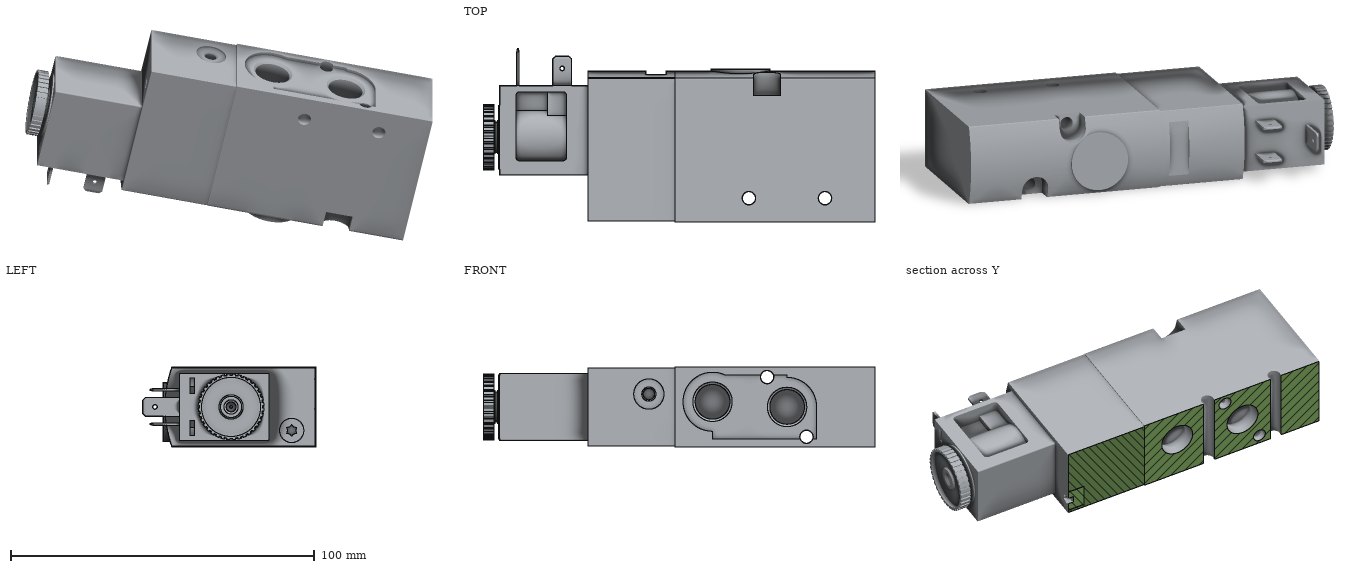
import cadquery as cq
import math


block_length = 66.0
block_height = 26.5
mid_z = block_height / 2
crown_y = 49.8
crown_radius = 39.0
block_edge_bevel = (0.5, 0.15)
pilot_length = 28.75
pilot_height = 25.8
pilot_edge_bevel = (0.3, 0.1)
pilot_face_y = 0.35
coil_length = 29.1
coil_height = 22.2
coil_y_min = 15.5
coil_y_max = 45.0
coil_edge_radius = 0.4
nut_length = 5.3
coil_axis_y = 28.0

pilot_x = -pilot_length
coil_x = pilot_x - coil_length
nut_x = coil_x - nut_length

port_offset_z = 1.7
port_1 = (37.0, mid_z)
port_3 = (12.4, mid_z + port_offset_z)
port_2 = (21.6, mid_z - port_offset_z)
port_diameter = 11.45
port_mouth_diameter = 13.0
port_depth = 12.0
pad_diameter = 19.5
pad_height = 0.65
pad_sunk_length = 4.0
gasket_depth = 1.1
gasket_height = 21.0
through_hole_diameter = 4.3
side_hole_edge = 3.4
side_holes = [(30.4, block_height - side_hole_edge, 1), (43.4, side_hole_edge, -1)]
head_slot_width = 9.0
head_slot_floor_y = 41.8
top_hole_xs = (24.4, 49.5)
top_hole_y = 7.9

crown_groove_x = -9.6
crown_groove_width = 6.7
crown_groove_floor_y = 48.7
override_x = -8.6
override_z = 17.5
override_diameter = 10.0
override_face_y = pilot_face_y + 0.5
override_depth = 6.0
override_hole_diameter = 3.8
override_mouth_diameter = 4.7
override_hole_depth = 3.0
screw_y = 8.0
screw_z = 5.5
screw_diameter = 8.0
screw_depth = 6.0
torx_point_count = 6
torx_diameter = 3.8
torx_root_diameter = 2.7
torx_depth = 2.0

window_x = coil_x + 5.4
window_length = 16.7
window_y_min = 20.2
window_y_max = 43.0
window_corner_radius = 1.3
bobbin_radius = 10.25
low_step_height = 5.2
high_step_height = 7.3
low_step_length = 10.4
face_slot_y = 40.8
face_slot_width = 1.6
face_slot_inner = 4.5
face_slot_step = 6.8
face_slot_outer = 9.5
face_slot_depth = 3.0
face_slot_step_depth = 2.0
collar_diameter = 21.0
collar_thickness = 0.4
blade_width = 6.3
blade_thickness = 0.8
blade_hole_diameter = 1.4
blade_hole_to_tip = 4.1
blade_tip_bevel = 1.0
blade_bevel_depth = 0.25
earth_blade_x = coil_x + 5.65
earth_blade_tip_y = 57.2
power_blade_x = coil_x + 17.5
power_blade_tip_y = 54.8
power_blade_offset = 5.25

knob_length = 3.5
knob_diameter = 21.7
knob_rim_diameter = 19.5
knob_recess_depth = 1.4
knurl_count = 36
knurl_depth = 0.5
knurl_width = 0.7
neck_diameter = 10.9
neck_groove_diameter = 10.0
neck_groove_length = 0.8
hub_diameter = 8.0
hub_height = 0.6
hub_chamfer = 0.5
nut_hole_mouth_diameter = 4.7
nut_hole_diameter = 3.24
nut_hole_tip_diameter = 0.9
nut_hole_mouth_depth = 0.5
nut_hole_wall_depth = 2.7
nut_hole_depth = 3.5


def box_between(x_min, x_max, y_min, y_max, z_min, z_max):
    size = (x_max - x_min, y_max - y_min, z_max - z_min)
    return cq.Workplane("XY").box(*size, centered=False).translate((x_min, y_min, z_min))


def cylinder_x(x, y, z, diameter, length):
    return cq.Workplane("YZ", origin=(x, y, z)).circle(diameter / 2).extrude(length)


def cylinder_y(x, y, z, diameter, length):
    return cq.Workplane("XZ", origin=(x, y, z)).circle(diameter / 2).extrude(-length)


def countersink_y(x, y, z, mouth_diameter, hole_diameter):
    """A 45 degree cone that narrows towards +Y from its mouth at the given point."""
    depth = (mouth_diameter - hole_diameter) / 2
    mouth_centre = cq.Vector(x, y, z)
    direction = cq.Vector(0, 1, 0)
    cone = cq.Solid.makeCone(mouth_diameter / 2, hole_diameter / 2, depth, mouth_centre, direction)
    return cq.Workplane("XY").newObject([cone])


def crowned_block(x, length, height, face_y, edge_bevel):
    """A block centred on mid_z whose +Y face bulges along an arc, with bevelled long edges."""
    bevel_y, bevel_z = edge_bevel
    half = height / 2
    crown_centre_y = crown_y - crown_radius
    arc_half = half - bevel_z
    arc_end_y = crown_centre_y + math.sqrt(crown_radius**2 - arc_half**2)
    bevel_start_y = arc_end_y - bevel_y
    return (
        cq.Workplane("YZ", origin=(x, 0, mid_z))
        .moveTo(face_y, -half)
        .lineTo(bevel_start_y, -half)
        .lineTo(arc_end_y, -arc_half)
        .threePointArc((crown_y, 0), (arc_end_y, arc_half))
        .lineTo(bevel_start_y, half)
        .lineTo(face_y, half)
        .close()
        .extrude(length)
    )


def gasket_recess():
    """The flat recess around ports 1 and 3: a pad circle at each port, joined by straight edges."""
    x_1, z_1 = port_1
    x_3, z_3 = port_3
    radius = pad_diameter / 2
    z_min = mid_z - gasket_height / 2
    z_max = mid_z + gasket_height / 2
    recess = cylinder_y(x_3, 0, z_3, pad_diameter, gasket_depth)
    recess = recess.union(cylinder_y(x_1, 0, z_1, pad_diameter, gasket_depth))
    recess = recess.union(box_between(x_3, x_1, 0, gasket_depth, z_min, z_max))
    return recess.union(box_between(x_1, x_1 + radius, 0, gasket_depth, z_min, z_1))


def make_valve_block():
    block = crowned_block(0, block_length, block_height, 0, block_edge_bevel)
    x_2, z_2 = port_2
    pad_length = pad_height + pad_sunk_length
    block = block.union(cylinder_y(x_2, crown_y - pad_sunk_length, z_2, pad_diameter, pad_length))
    block = block.cut(gasket_recess())
    for x, z in (port_1, port_3):
        block = block.cut(cylinder_y(x, 0, z, port_diameter, port_depth))
        block = block.cut(countersink_y(x, gasket_depth, z, port_mouth_diameter, port_diameter))
    for x, z, side in side_holes:
        block = block.cut(cylinder_y(x, 0, z, through_hole_diameter, crown_y))
        slot = cylinder_y(x, head_slot_floor_y, z, head_slot_width, block_height)
        half = head_slot_width / 2
        z_low, z_high = sorted((z, z + side * head_slot_width))
        opening = box_between(x - half, x + half, head_slot_floor_y, crown_y + pad_height, z_low, z_high)
        block = block.cut(slot.union(opening))
    for x in top_hole_xs:
        hole = cq.Workplane("XY", origin=(x, top_hole_y, 0)).circle(through_hole_diameter / 2)
        block = block.cut(hole.extrude(block_height))
    return block


def make_pilot_head():
    pilot = crowned_block(pilot_x, pilot_length, pilot_height, pilot_face_y, pilot_edge_bevel)
    groove = box_between(
        crown_groove_x, crown_groove_x + crown_groove_width, crown_groove_floor_y, crown_y, 0, block_height
    )
    pilot = pilot.cut(groove)
    override_bore_length = override_face_y + override_depth
    pilot = pilot.cut(cylinder_y(override_x, 0, override_z, override_diameter, override_bore_length))
    return pilot.cut(cylinder_x(pilot_x, screw_y, screw_z, screw_diameter, screw_depth))


def make_override():
    """Manual override button, set slightly into the pilot's -Y face."""
    button = cylinder_y(override_x, override_face_y, override_z, override_diameter, override_depth)
    hole = cylinder_y(override_x, override_face_y, override_z, override_hole_diameter, override_hole_depth)
    mouth = countersink_y(
        override_x, override_face_y, override_z, override_mouth_diameter, override_hole_diameter
    )
    return button.cut(hole).cut(mouth)


def make_screw():
    """Flush screw in the pilot's -X face, with a six-pointed drive recess."""
    screw = cylinder_x(pilot_x, screw_y, screw_z, screw_diameter, screw_depth)
    points = []
    for i in range(2 * torx_point_count):
        radius = (torx_root_diameter if i % 2 else torx_diameter) / 2
        angle = math.pi / 2 + math.pi * i / torx_point_count
        points.append((radius * math.cos(angle), radius * math.sin(angle)))
    drive = cq.Workplane("YZ", origin=(pilot_x, screw_y, screw_z)).polyline(points).close()
    return screw.cut(drive.extrude(torx_depth))


def coil_window():
    """Opening in the coil's top that shows the bobbin and two flat steps beside it."""
    x_max = window_x + window_length
    opening = box_between(
        window_x, x_max, window_y_min, window_y_max, mid_z + low_step_height, mid_z + coil_height / 2
    ).edges("|Z").fillet(window_corner_radius)
    bobbin = cylinder_x(window_x, coil_axis_y, mid_z, 2 * bobbin_radius, window_length)
    high_step = box_between(
        window_x + low_step_length, x_max, coil_axis_y, window_y_max, 0, mid_z + high_step_height
    )
    return opening.cut(bobbin).cut(high_step)


def make_blade(tip_y):
    """Spade terminal standing on the coil's +Y face: width along X from 0, thickness along Z from 0."""
    blade = box_between(0, blade_width, coil_y_max, tip_y, 0, blade_thickness)
    blade = blade.edges("|Z and >Y").chamfer(blade_tip_bevel)
    for face_z, inward in ((0, 1), (blade_thickness, -1)):
        bevel = (
            cq.Workplane("YZ")
            .moveTo(tip_y - blade_tip_bevel, face_z)
            .lineTo(tip_y, face_z)
            .lineTo(tip_y, face_z + inward * blade_bevel_depth)
            .close()
            .extrude(blade_width)
        )
        blade = blade.cut(bevel)
    hole = cq.Workplane("XY", origin=(blade_width / 2, tip_y - blade_hole_to_tip, 0))
    return blade.cut(hole.circle(blade_hole_diameter / 2).extrude(blade_thickness))


def make_coil():
    coil = box_between(
        coil_x, pilot_x, coil_y_min, coil_y_max, mid_z - coil_height / 2, mid_z + coil_height / 2
    ).edges("|X and <Y").fillet(coil_edge_radius)
    coil = coil.cut(coil_window())
    half = face_slot_width / 2
    for side in (1, -1):
        inner = mid_z + side * face_slot_inner
        step = mid_z + side * face_slot_step
        outer = mid_z + side * face_slot_outer
        for start, end, depth in ((inner, step, face_slot_depth), (step, outer, face_slot_step_depth)):
            z_low, z_high = sorted((start, end))
            slot = box_between(coil_x, coil_x + depth, face_slot_y - half, face_slot_y + half, z_low, z_high)
            coil = coil.cut(slot)
    collar_x = coil_x - collar_thickness
    coil = coil.union(cylinder_x(collar_x, coil_axis_y, mid_z, collar_diameter, collar_thickness))
    power_blade = make_blade(power_blade_tip_y).translate((power_blade_x, 0, power_blade_offset))
    coil = coil.union(power_blade.translate((0, 0, mid_z)))
    coil = coil.union(power_blade.mirror("XY").translate((0, 0, mid_z)))
    earth_blade = make_blade(earth_blade_tip_y).rotate((0, 0, 0), (0, 1, 0), 90)
    return coil.union(earth_blade.translate((earth_blade_x, 0, mid_z + blade_width / 2)))


def make_nut():
    """Knurled nut on the coil axis: dished knob with a hub and blind hole, and a grooved neck."""
    face_x = knob_recess_depth
    hub_x = face_x - hub_height
    neck_end = nut_length - collar_thickness
    neck_middle = (knob_length + neck_end) / 2
    groove_start = neck_middle - neck_groove_length / 2
    groove_end = neck_middle + neck_groove_length / 2
    profile = (
        cq.Workplane("XY")
        .moveTo(hub_x + nut_hole_depth, 0)
        .lineTo(hub_x + nut_hole_depth, nut_hole_tip_diameter / 2)
        .lineTo(hub_x + nut_hole_wall_depth, nut_hole_diameter / 2)
        .lineTo(hub_x + nut_hole_mouth_depth, nut_hole_diameter / 2)
        .lineTo(hub_x, nut_hole_mouth_diameter / 2)
        .lineTo(hub_x, hub_diameter / 2 - hub_chamfer)
        .lineTo(hub_x + hub_chamfer, hub_diameter / 2)
        .lineTo(face_x, hub_diameter / 2)
        .lineTo(face_x, knob_rim_diameter / 2)
        .lineTo(0, knob_rim_diameter / 2)
        .lineTo(0, knob_diameter / 2)
        .lineTo(knob_length, knob_diameter / 2)
        .lineTo(knob_length, neck_diameter / 2)
        .lineTo(groove_start, neck_diameter / 2)
        .lineTo(groove_start, neck_groove_diameter / 2)
        .lineTo(groove_end, neck_groove_diameter / 2)
        .lineTo(groove_end, neck_diameter / 2)
        .lineTo(neck_end, neck_diameter / 2)
        .lineTo(neck_end, 0)
        .close()
    )
    nut = profile.revolve(360, (0, 0, 0), (1, 0, 0))
    outer = knob_diameter / 2
    half = knurl_width / 2
    groove = box_between(0, knob_length, outer - knurl_depth, outer + knurl_depth, -half, half)
    for i in range(knurl_count):
        nut = nut.cut(groove.rotate((0, 0, 0), (1, 0, 0), 360 * i / knurl_count))
    return nut.translate((nut_x, coil_axis_y, mid_z))


valve_block = make_valve_block()
pilot_head = make_pilot_head()
override = make_override()
screw = make_screw()
coil = make_coil()
nut = make_nut()

result = cq.Compound.makeCompound(
    [valve_block.val(), pilot_head.val(), override.val(), screw.val(), coil.val(), nut.val()]
)